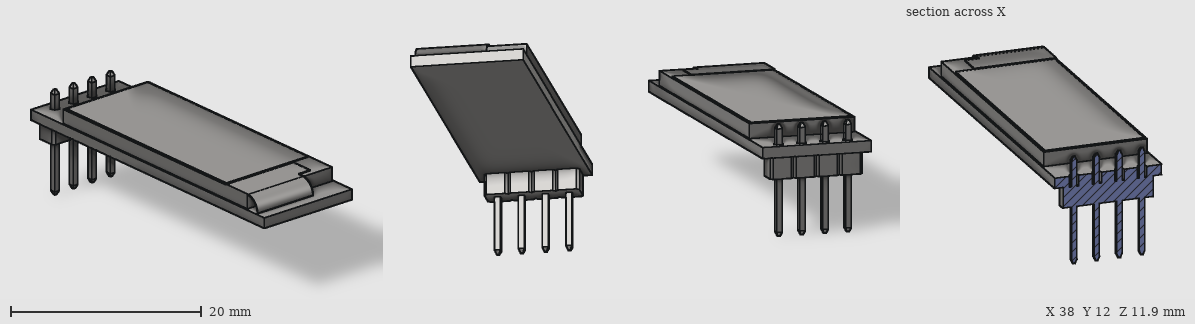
import cadquery as cq


BOARD_LENGTH = 38.0
BOARD_WIDTH = 12.0
BOARD_THICKNESS = 1.2
PIN_HOLE_DIAMETER = 1.0

PIN_COUNT = 4
PITCH = 2.54
HEADER_HEIGHT = 2.3
HEADER_SETBACK = 0.03
HEADER_CHAMFER = 0.28
PIN_WIDTH = 0.64
PIN_LENGTH = 11.94
PIN_ABOVE_BOARD = 2.12
PIN_TAPER_HEIGHT = 0.45
PIN_TIP_WIDTH = 0.25

GLASS_START_X = 5.0
GLASS_LENGTH = 30.0
GLASS_WIDTH = 11.6
GLASS_HEIGHT = 1.6
POLARIZER_LENGTH = 26.1
POLARIZER_INSET = 0.22
POLARIZER_THICKNESS = 0.1

FLEX_THICKNESS = 0.1
FLEX_WIDE_LENGTH = 2.75
FLEX_WIDE_WIDTH = 9.2
FLEX_NARROW_WIDTH = 7.6
BEND_ANGLE = 90
FLEX_GAP = 0.22

HEADER_X = PITCH / 2 + HEADER_SETBACK
HEADER_TOP = -BOARD_THICKNESS
HEADER_BOTTOM = HEADER_TOP - HEADER_HEIGHT
PIN_BOTTOM = PIN_ABOVE_BOARD - PIN_LENGTH
GLASS_END_X = GLASS_START_X + GLASS_LENGTH
GLASS_SIDE_Y = -GLASS_WIDTH / 2
POLARIZER_START_X = GLASS_START_X + POLARIZER_INSET
FLEX_START_X = POLARIZER_START_X + POLARIZER_LENGTH + FLEX_GAP
PIN_POSITIONS = [
    (HEADER_X, (i - (PIN_COUNT - 1) / 2) * PITCH) for i in range(PIN_COUNT)
]


def block(x, y, z, length, width, height):
    """Box with its lowest corner at (x, y, z)."""
    return cq.Workplane("XY").box(length, width, height, centered=False).translate((x, y, z))


def make_board():
    board = block(0, -BOARD_WIDTH / 2, -BOARD_THICKNESS, BOARD_LENGTH, BOARD_WIDTH, BOARD_THICKNESS)
    holes = (
        cq.Workplane("XY")
        .pushPoints(PIN_POSITIONS)
        .circle(PIN_HOLE_DIAMETER / 2)
        .extrude(-BOARD_THICKNESS)
    )
    return board.cut(holes)


def make_header_cell(x, y):
    """One insulator cell: a square block with chamfered upright edges."""
    return (
        cq.Workplane("XY")
        .box(PITCH, PITCH, HEADER_HEIGHT, centered=(True, True, False))
        .edges("|Z")
        .chamfer(HEADER_CHAMFER)
        .translate((x, y, HEADER_BOTTOM))
    )


def make_pin_tip(x, y, base_z, direction):
    """Pyramid frustum from the pin section to its tip; direction is +1 up or -1 down."""
    return (
        cq.Workplane("XY", origin=(x, y, base_z))
        .rect(PIN_WIDTH, PIN_WIDTH)
        .workplane(offset=direction * PIN_TAPER_HEIGHT)
        .rect(PIN_TIP_WIDTH, PIN_TIP_WIDTH)
        .loft(ruled=True)
    )


def make_pin(x, y):
    """Square pin tapered at both ends."""
    shank_bottom = PIN_BOTTOM + PIN_TAPER_HEIGHT
    shank_top = PIN_ABOVE_BOARD - PIN_TAPER_HEIGHT
    shank = (
        cq.Workplane("XY", origin=(x, y, shank_bottom))
        .rect(PIN_WIDTH, PIN_WIDTH)
        .extrude(shank_top - shank_bottom)
    )
    upper_tip = make_pin_tip(x, y, shank_top, 1)
    lower_tip = make_pin_tip(x, y, shank_bottom, -1)
    return shank.union(upper_tip).union(lower_tip)


def make_display():
    glass = block(GLASS_START_X, GLASS_SIDE_Y, 0, GLASS_LENGTH, GLASS_WIDTH, GLASS_HEIGHT)
    polarizer = block(
        POLARIZER_START_X,
        GLASS_SIDE_Y + POLARIZER_INSET,
        GLASS_HEIGHT,
        POLARIZER_LENGTH,
        GLASS_WIDTH - 2 * POLARIZER_INSET,
        POLARIZER_THICKNESS,
    )
    return glass.union(polarizer)


def make_flex_cable():
    """Flat stepped strip on the glass, then a quarter-round bend down to the board."""
    wide = block(
        FLEX_START_X, GLASS_SIDE_Y, GLASS_HEIGHT, FLEX_WIDE_LENGTH, FLEX_WIDE_WIDTH, FLEX_THICKNESS
    )
    narrow = block(
        FLEX_START_X,
        GLASS_SIDE_Y,
        GLASS_HEIGHT,
        GLASS_END_X - FLEX_START_X,
        FLEX_NARROW_WIDTH,
        FLEX_THICKNESS,
    )
    bend = (
        cq.Workplane("YZ", origin=(GLASS_END_X, GLASS_SIDE_Y, 0))
        .moveTo(0, GLASS_HEIGHT)
        .rect(FLEX_NARROW_WIDTH, FLEX_THICKNESS, centered=False)
        .revolve(BEND_ANGLE, (0, 0), (1, 0))
    )
    return wide.union(narrow).union(bend)


result = make_board().union(make_display()).union(make_flex_cable())
for pin_x, pin_y in PIN_POSITIONS:
    result = result.union(make_header_cell(pin_x, pin_y)).union(make_pin(pin_x, pin_y))